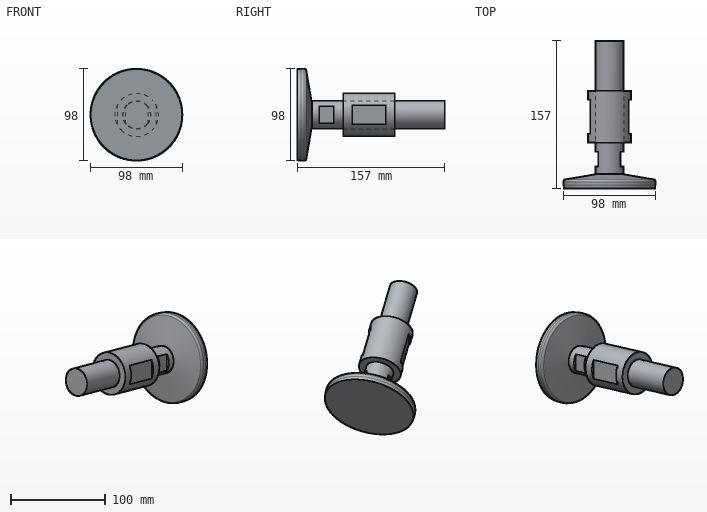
import cadquery as cq
import math

total_length = 157.0

foot_diameter = 98.0
sole_diameter = 97.0
rim_taper_height = 4.0
rim_top = 7.2
shoulder_radius = 2.8
shoulder_sweep = 68.0
cone_top = 15.4

stem_diameter = 30.0
stem_bevel = 0.5
stem_flat_start = 23.7
stem_flat_length = 15.2
stem_across_flats = 23.9

sleeve_diameter = 46.0
sleeve_start = 48.8
sleeve_length = 55.1
sleeve_flat_margin = 9.5
sleeve_across_flats = 41.1


def cut_wrench_flats(body, diameter, across_flats, start, length):
    """Cut two opposite flats, facing -X and +X, over a stretch of a round body."""
    depth = (diameter - across_flats) / 2
    for side in (-1, 1):
        center_x = side * (across_flats + depth) / 2
        cutter = (
            cq.Workplane("XY")
            .box(depth, length, diameter)
            .translate((center_x, start + length / 2, 0))
        )
        body = body.cut(cutter)
    return body


def make_spindle():
    foot_radius = foot_diameter / 2
    stem_radius = stem_diameter / 2
    arc_x = foot_radius - shoulder_radius

    def shoulder_point(angle):
        return (
            arc_x + shoulder_radius * math.cos(angle),
            rim_top + shoulder_radius * math.sin(angle),
        )

    shoulder_angle = math.radians(shoulder_sweep)
    spindle = (
        cq.Workplane("XY")
        .lineTo(sole_diameter / 2, 0)
        .lineTo(foot_radius, rim_taper_height)
        .lineTo(foot_radius, rim_top)
        .threePointArc(shoulder_point(shoulder_angle / 2), shoulder_point(shoulder_angle))
        .lineTo(stem_radius - stem_bevel, cone_top)
        .lineTo(stem_radius, cone_top + stem_bevel)
        .lineTo(stem_radius, total_length)
        .lineTo(0, total_length)
        .close()
        .revolve(360, (0, 0, 0), (0, 1, 0))
    )
    return cut_wrench_flats(
        spindle, stem_diameter, stem_across_flats, stem_flat_start, stem_flat_length
    )


def make_sleeve():
    sleeve = (
        cq.Workplane("XZ", origin=(0, sleeve_start, 0))
        .circle(sleeve_diameter / 2)
        .circle(stem_diameter / 2)
        .extrude(-sleeve_length)
    )
    return cut_wrench_flats(
        sleeve,
        sleeve_diameter,
        sleeve_across_flats,
        sleeve_start + sleeve_flat_margin,
        sleeve_length - 2 * sleeve_flat_margin,
    )


spindle = make_spindle()
sleeve = make_sleeve()
result = cq.Compound.makeCompound([spindle.val(), sleeve.val()])